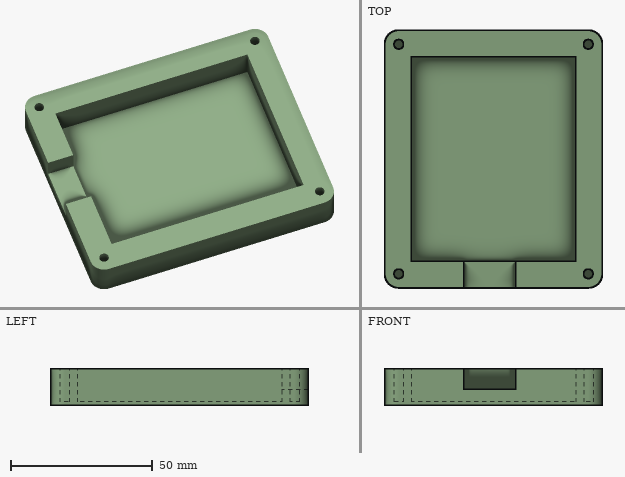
import cadquery as cq

length_x = 77.2
length_y = 91.4
height = 13.0
corner_radius = 5.0

wall = 9.5
floor_thickness = 1.5
pocket_x = length_x - 2 * wall
pocket_y = length_y - 2 * wall
pocket_depth = height - floor_thickness

notch_width = 18.4
notch_depth = 7.3
notch_offset_x = -1.4

hole_diameter = 3.4
hole_depth = pocket_depth
hole_spacing_x = length_x - 2 * corner_radius
hole_spacing_y = length_y - 2 * corner_radius


def make_block():
    block = cq.Workplane("XY").box(length_x, length_y, height, centered=(True, True, False))
    return block.edges("|Z").fillet(corner_radius)


def make_pocket():
    pocket = cq.Workplane("XY").box(pocket_x, pocket_y, pocket_depth, centered=(True, True, False))
    return pocket.translate((0, 0, floor_thickness))


def make_notch():
    notch = cq.Workplane("XY").box(notch_width, wall, notch_depth, centered=(True, False, False))
    return notch.translate((notch_offset_x, -length_y / 2, height - notch_depth))


def make_corner_holes():
    return (
        cq.Workplane("XY", origin=(0, 0, height))
        .rect(hole_spacing_x, hole_spacing_y, forConstruction=True)
        .vertices()
        .circle(hole_diameter / 2)
        .extrude(-hole_depth)
    )


result = make_block().cut(make_pocket()).cut(make_notch()).cut(make_corner_holes())